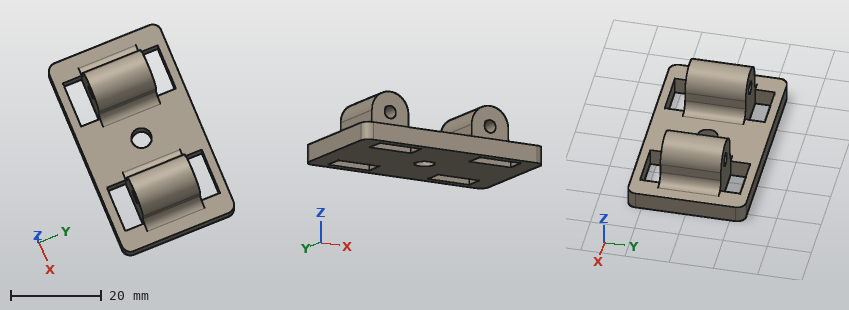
import cadquery as cq

plate_length = 46.0
plate_width = 26.7
plate_thickness = 4.0
corner_radius = 2.02
center_hole_diameter = 4.5

lug_spacing = 25.58
lug_radius = 4.7
lug_width = 13.7
total_height = 13.4
pin_height = total_height - lug_radius
pin_diameter = 2.9
foot_radius = 2.5

window_length = 10.6
window_width = 22.65


def make_plate():
    """Rounded plate with its bottom on Z = 0 and a hole in the middle."""
    plate = cq.Workplane("XY").box(plate_length, plate_width, plate_thickness, centered=(True, True, False))
    plate = plate.edges("|Z").fillet(corner_radius)
    return plate.faces(">Z").workplane().hole(center_hole_diameter)


def make_windows(x):
    """Openings on both sides of a lug; the block between them carries the lug."""
    window = cq.Workplane("XY").box(window_length, window_width, plate_thickness, centered=(True, True, False))
    block = cq.Workplane("XY").box(window_length, lug_width, plate_thickness, centered=(True, True, False))
    return window.cut(block).translate((x, 0, 0))


def make_lug(x):
    """Round-topped lug with concave feet and a pin hole along Y."""
    foot_end = lug_radius + foot_radius
    foot_top = plate_thickness + foot_radius
    lug = (
        cq.Workplane("XZ")
        .moveTo(-foot_end, plate_thickness)
        .radiusArc((-lug_radius, foot_top), -foot_radius)
        .lineTo(-lug_radius, pin_height)
        .threePointArc((0, total_height), (lug_radius, pin_height))
        .lineTo(lug_radius, foot_top)
        .radiusArc((foot_end, plate_thickness), -foot_radius)
        .close()
        .extrude(lug_width / 2, both=True)
    )
    pin_hole = (
        cq.Workplane("XZ")
        .center(0, pin_height)
        .circle(pin_diameter / 2)
        .extrude(lug_width / 2, both=True)
    )
    return lug.cut(pin_hole).translate((x, 0, 0))


result = make_plate()
for lug_x in (-lug_spacing / 2, lug_spacing / 2):
    result = result.cut(make_windows(lug_x)).union(make_lug(lug_x))